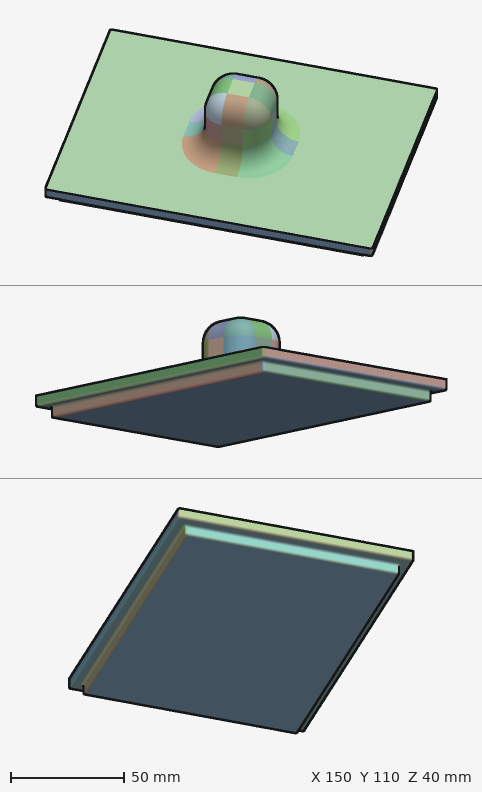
import cadquery as cq

plate_length = 150.0
plate_width = 110.0
lip_length = 140.0
lip_width = 100.0
edge_radius = 1.0

overall_height = 40.0
knob_side = 30.0
knob_radius = 10.0
knob_height = 30.0

layer_thickness = (overall_height - knob_height) / 2
plate_top = 2 * layer_thickness


def make_lip():
    """Lip centred below the plate, with rounded corners and bottom edge."""
    lip = cq.Workplane("XY").box(
        lip_length, lip_width, layer_thickness, centered=(True, True, False)
    )
    return lip.edges("|Z or <Z").fillet(edge_radius)


def make_plate():
    """Plate resting on the lip, with rounded corners and bottom edge."""
    plate = cq.Workplane("XY").workplane(offset=layer_thickness).box(
        plate_length, plate_width, layer_thickness, centered=(True, True, False)
    )
    return plate.edges("|Z or <Z").fillet(edge_radius)


def make_knob():
    """Knob with rounded vertical corners and a domed top edge."""
    knob = cq.Workplane("XY").workplane(offset=plate_top).box(
        knob_side, knob_side, knob_height, centered=(True, True, False)
    )
    return knob.edges("|Z or >Z").fillet(knob_radius)


def fillet_root(body, length, width, height, radius):
    """Fillet the concave edges around a length by width outline at the given height."""
    margin = edge_radius
    root_box = cq.selectors.BoxSelector(
        (-length / 2 - margin, -width / 2 - margin, height - margin),
        (length / 2 + margin, width / 2 + margin, height + margin),
    )
    return body.faces("|Z").edges(root_box).fillet(radius)


body = make_lip().union(make_plate()).union(make_knob())

body = fillet_root(body, lip_length, lip_width, layer_thickness, edge_radius)

result = fillet_root(body, knob_side, knob_side, plate_top, knob_radius)